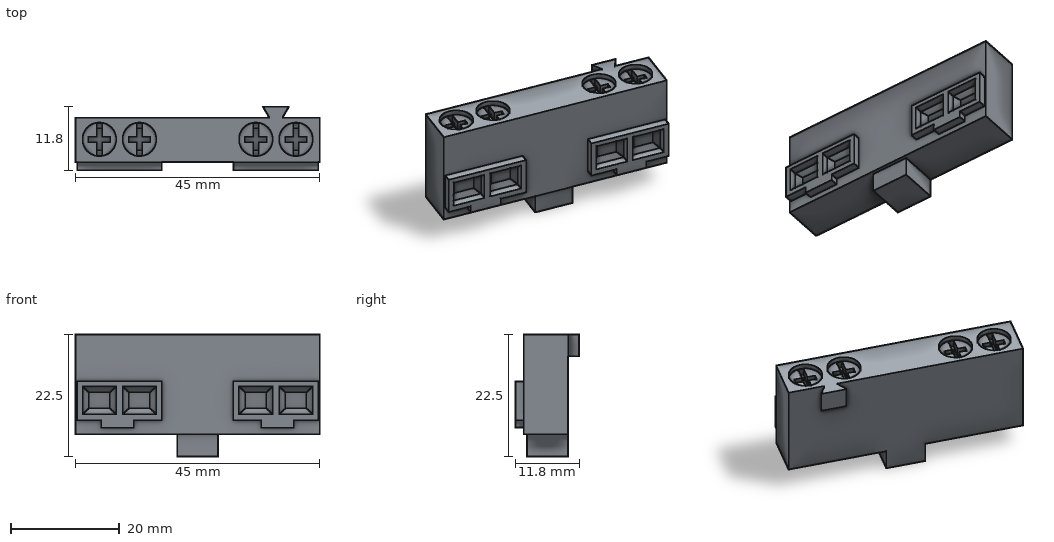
import cadquery as cq

length = 45.0
body_depth = 8.2
body_height = 18.4
mid_x = length / 2

foot_width = 7.5
foot_depth = 7.55
foot_height = 4.1

frame_offset = 14.4
frame_width = 15.6
frame_height = 7.2
frame_bottom = 2.55
frame_thickness = 1.55
key_offset = 14.7
key_width = 6.0
key_height = 1.35

dovetail_x = mid_x + frame_offset
dovetail_root = 2.48
dovetail_tip = 4.8
dovetail_depth = 2.02
dovetail_height = 4.05

terminal_pitch = 7.4
terminal_xs = [
    mid_x + side * frame_offset + half * terminal_pitch / 2
    for side in (-1, 1)
    for half in (-1, 1)
]

opening_width = 6.2
opening_height = 5.15
opening_z = 6.25
floor_width = 3.85
floor_height = 2.92
taper_depth = 0.7

screw_y = 4.2
recess_diameter = 6.2
recess_depth = 1.0
slot_width = 1.05
slot_length = 4.0
cross_depth = 1.8
long_slot_length = 6.0
long_slot_depth = 1.35
recess_floor = body_height - recess_depth


def block(width, depth, height, x, y, z):
    """Box centred on x, with its front face at y and its underside at z."""
    return cq.Workplane("XY").box(width, depth, height, centered=(True, False, False)).translate((x, y, z))


def dovetail():
    back = body_depth
    tip = body_depth + dovetail_depth
    outline = [
        (dovetail_x - dovetail_root / 2, back),
        (dovetail_x - dovetail_tip / 2, tip),
        (dovetail_x + dovetail_tip / 2, tip),
        (dovetail_x + dovetail_root / 2, back),
    ]
    bottom = body_height - dovetail_height
    return cq.Workplane("XY", origin=(0, 0, bottom)).polyline(outline).close().extrude(dovetail_height)


def terminal_frame(side):
    frame_x = mid_x + side * frame_offset
    key_x = mid_x + side * key_offset
    frame = block(frame_width, frame_thickness, frame_height, frame_x, -frame_thickness, frame_bottom)
    key = block(key_width, frame_thickness, key_height, key_x, -frame_thickness, frame_bottom - key_height)
    return frame.union(key)


def wire_opening(x):
    throat = block(
        opening_width, frame_thickness, opening_height, x, -frame_thickness, opening_z - opening_height / 2
    )
    taper = (
        cq.Workplane("XZ", origin=(x, 0, opening_z))
        .rect(opening_width, opening_height)
        .workplane(offset=-taper_depth)
        .rect(floor_width, floor_height)
        .loft(ruled=True)
    )
    return throat.union(taper)


def screw_recess(x):
    head = cq.Workplane("XY", origin=(x, screw_y, recess_floor))
    recess = head.circle(recess_diameter / 2).extrude(recess_depth)
    cross_bar = head.rect(slot_length, slot_width).extrude(-cross_depth)
    cross_post = head.rect(slot_width, slot_length).extrude(-cross_depth)
    long_slot = head.rect(slot_width, long_slot_length).extrude(-long_slot_depth)
    return recess.union(cross_bar).union(cross_post).union(long_slot)


result = block(length, body_depth, body_height, mid_x, 0, 0)
result = result.union(
    block(foot_width, foot_depth, foot_height, mid_x, body_depth - foot_depth, -foot_height)
)
result = result.union(dovetail())
for side in (-1, 1):
    result = result.union(terminal_frame(side))
for terminal_x in terminal_xs:
    result = result.cut(wire_opening(terminal_x))
    result = result.cut(screw_recess(terminal_x))